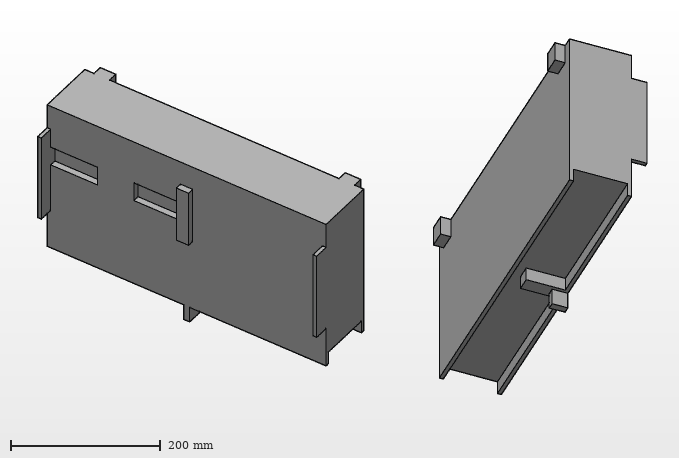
import cadquery as cq

body_width = 450.0
body_depth = 90.0
body_height = 245.0
wall = 6.0

channel_height = 20.2

tab_width = 10.0
tab_depth = 23.0
total_height = 270.0
rib_width = 20.0
rib_depth = 62.5

flange_reach = 22.5
flange_drop = 39.5
flange_height = 140.5

lug_inset = 15.0
lug_width = 25.0
lug_depth = 15.0
lug_height = 30.0

bar_width = 20.0
bar_depth = 10.0
bar_drop = 38.2
bar_height = 90.0
recess_width = 75.0
recess_depth = 10.0
recess_drop = 70.5
recess_height = 30.5


def block(x_left, y_front, z_top, width, depth, height):
    """Box placed by its left, front and top faces."""
    return cq.Workplane("XY").box(width, depth, height, centered=False).translate(
        (x_left, y_front, z_top - height)
    )


left = -body_width / 2
right = body_width / 2
body_bottom = -body_height
channel_top = body_bottom + channel_height

result = block(left, 0, 0, body_width, body_depth, body_height)

result = result.cut(
    block(left, wall, channel_top, body_width, body_depth - 2 * wall, channel_height)
)

result = result.union(block(-rib_width / 2, 0, channel_top, rib_width, rib_depth, channel_height))
result = result.union(
    block(-tab_width / 2, 0, body_bottom, tab_width, tab_depth, total_height - body_height)
)

for recess_left in (left + wall, -bar_width / 2 - recess_width):
    result = result.cut(
        block(recess_left, 0, -recess_drop, recess_width, recess_depth, recess_height)
    )

for flange_left in (left, right - wall):
    result = result.union(
        block(flange_left, -flange_reach, -flange_drop, wall, flange_reach + wall, flange_height)
    )

result = result.union(block(-bar_width / 2, -bar_depth, -bar_drop, bar_width, bar_depth, bar_height))

for lug_left in (left + lug_inset, right - lug_inset - lug_width):
    result = result.union(block(lug_left, body_depth, 0, lug_width, lug_depth, lug_height))